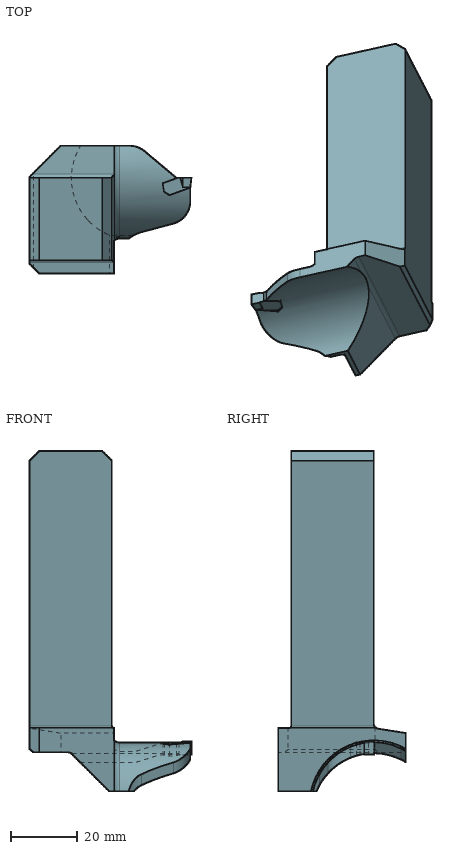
import cadquery as cq
import math


shank_side = 25.0
total_height = 103.15
shank_end_chamfer = 3.0

head_front = -4.0
head_back = 34.75
head_step = 0.65
head_face_x = shank_side + head_step
head_top = 19.25
head_underside = 11.85
underside_chamfer_x = 1.2
underside_chamfer_z = 1.0
foot_start_x = 24.2
underside_blend = 2.0
front_corner_chamfer = 3.0
back_corner_chamfer = 9.5
back_slope = math.radians(9)
front_blend = 0.6
back_blend = 1.5

arc_radius = 18.85
arc_center_y = shank_side
inner_center_z = -7.3
blade_thickness = 3.35
outer_center_z = inner_center_z + blade_thickness
root_flare_length = 1.55
root_flare_height = 0.6

blade_end_x = 48.75
flank_angle = math.radians(15)
flank_corner_y = 12.5
flank_inner_x = 33.8
nose_radius = 7.1
root_radius = 10.0
back_corner_x = 32.9
back_slope_angle = math.radians(40)
back_corner_radius = 7.1

cutting_edge_y = 25.1
insert_body_bottom = 11.3
insert_body_top = 14.85
insert_tilt = math.radians(20)
insert_heel_top_x = 40.35
insert_heel_bottom_x = 40.75
insert_heel_top_y = cutting_edge_y - 1.75
insert_heel_bottom_y = 20.8
insert_toe_x = 42.4
insert_toe_y = 19.75
tip_width = 4.0
tip_top = 15.15
tip_bottom = tip_top - tip_width
tip_left_x = 46.5
tip_edge_x = 49.1
tip_floor_y = 22.1
ramp_left_x = 45.6


def blended_corner(outline, corner, before, after, radius):
    """Continue an outline with a tangent arc that rounds the corner between two neighbours."""
    def unit(target):
        length = math.dist(corner, target)
        return ((target[0] - corner[0]) / length, (target[1] - corner[1]) / length)

    to_before = unit(before)
    to_after = unit(after)
    half_angle = math.acos(to_before[0] * to_after[0] + to_before[1] * to_after[1]) / 2
    tangent_length = radius / math.tan(half_angle)
    middle_length = radius / math.sin(half_angle) - radius
    bisector = (to_before[0] + to_after[0], to_before[1] + to_after[1])
    bisector_length = math.hypot(*bisector)

    def along(direction, length):
        return (corner[0] + direction[0] * length, corner[1] + direction[1] * length)

    start = along(to_before, tangent_length)
    middle = along(bisector, middle_length / bisector_length)
    end = along(to_after, tangent_length)
    return outline.lineTo(*start).threePointArc(middle, end)


def outline_with_blends(plane, points, blends):
    """Closed outline through the points; blends maps a point's index to its fillet radius.

    The first point must stay sharp."""
    outline = cq.Workplane(plane).moveTo(*points[0])
    for index in range(1, len(points)):
        if index in blends:
            following = points[(index + 1) % len(points)]
            outline = blended_corner(outline, points[index], points[index - 1], following, blends[index])
        else:
            outline = outline.lineTo(*points[index])
    return outline.close()


def make_inner_cutter():
    """Round bar along X that hollows the underside of the head and the blade."""
    return (
        cq.Workplane("YZ")
        .center(arc_center_y, inner_center_z)
        .circle(arc_radius)
        .extrude(blade_end_x)
    )


def make_head_and_shank():
    """Common volume of a side (XZ), an end (YZ) and a plan (XY) outline."""
    depth = head_back - head_front
    shank_shoulder = total_height - shank_end_chamfer
    side = (
        outline_with_blends("XZ", [
            (head_face_x, 0),
            (head_face_x, head_top),
            (shank_side, head_top),
            (shank_side, shank_shoulder),
            (shank_side - shank_end_chamfer, total_height),
            (shank_end_chamfer, total_height),
            (0, shank_shoulder),
            (0, head_underside + underside_chamfer_z),
            (underside_chamfer_x, head_underside),
            (foot_start_x - head_underside, head_underside),
            (foot_start_x, 0),
        ], {2: front_blend, 9: underside_blend})
        .extrude(-depth)
        .translate((0, head_front, 0))
    )
    end = outline_with_blends("YZ", [
        (head_front, 0),
        (head_front, head_top),
        (0, head_top),
        (0, total_height),
        (shank_side, total_height),
        (shank_side, head_top),
        (head_back, head_top - (head_back - shank_side) * math.tan(back_slope)),
        (head_back, 0),
    ], {2: front_blend, 5: back_blend}).extrude(head_face_x)
    plan = (
        cq.Workplane("XY")
        .polyline([
            (0, head_front + front_corner_chamfer),
            (front_corner_chamfer, head_front),
            (head_face_x, head_front),
            (head_face_x, head_back),
            (back_corner_chamfer, head_back),
            (0, head_back - back_corner_chamfer),
        ])
        .close()
        .extrude(total_height)
    )
    return side.intersect(end).intersect(plan)


def make_blade():
    """Blade with a flared root, before the inner arc is cut away."""
    flare_end_x = head_face_x + root_flare_length
    flare_radius = (root_flare_length**2 + root_flare_height**2) / (2 * root_flare_height)
    flare_half_angle = math.asin(root_flare_length / flare_radius) / 2
    flare_middle = (
        flare_end_x - flare_radius * math.sin(flare_half_angle),
        arc_radius + flare_radius * (1 - math.cos(flare_half_angle)),
    )
    solid_of_turn = (
        cq.Workplane("XZ")
        .moveTo(head_face_x, 0)
        .lineTo(head_face_x, arc_radius + root_flare_height)
        .threePointArc(flare_middle, (flare_end_x, arc_radius))
        .lineTo(blade_end_x, arc_radius)
        .lineTo(blade_end_x, 0)
        .close()
        .revolve(360, (0, 0, 0), (1, 0, 0))
        .translate((0, arc_center_y, outer_center_z))
    )

    flank_inner_y = flank_corner_y - (blade_end_x - flank_inner_x) * math.tan(flank_angle)
    root_center = (
        flank_inner_x + root_radius * math.sin(flank_angle),
        flank_inner_y - root_radius * math.cos(flank_angle),
    )
    root_middle_angle = (math.pi / 2 + flank_angle + math.pi) / 2
    root_arc_middle = (
        root_center[0] + root_radius * math.cos(root_middle_angle),
        root_center[1] + root_radius * math.sin(root_middle_angle),
    )
    root_x = root_center[0] - root_radius
    back_slope_end = (
        back_corner_x + (head_back - cutting_edge_y) / math.tan(back_slope_angle),
        cutting_edge_y,
    )
    plan = cq.Workplane("XY").moveTo(head_face_x, head_front).lineTo(head_face_x, head_back)
    plan = blended_corner(
        plan, (back_corner_x, head_back), (head_face_x, head_back), back_slope_end, back_corner_radius
    )
    plan = plan.lineTo(*back_slope_end).lineTo(blade_end_x, cutting_edge_y)
    plan = blended_corner(
        plan,
        (blade_end_x, flank_corner_y),
        (blade_end_x, cutting_edge_y),
        (flank_inner_x, flank_inner_y),
        nose_radius,
    )
    plan = (
        plan.lineTo(flank_inner_x, flank_inner_y)
        .threePointArc(root_arc_middle, (root_x, root_center[1]))
        .lineTo(root_x, head_front)
        .close()
        .extrude(head_top)
    )
    return solid_of_turn.intersect(plan)


insert_top_start = (
    insert_heel_top_x + (cutting_edge_y - insert_heel_top_y) / math.tan(insert_tilt),
    cutting_edge_y,
)
insert_seat_end = (
    blade_end_x,
    insert_toe_y + (blade_end_x - insert_toe_x) * math.tan(insert_tilt),
)
insert_outline = [
    (insert_heel_top_x, insert_heel_top_y),
    insert_top_start,
    (blade_end_x, cutting_edge_y),
    insert_seat_end,
    (insert_toe_x, insert_toe_y),
    (insert_heel_bottom_x, insert_heel_bottom_y),
]


def insert_prism(bottom, top):
    """Upright prism over the insert's plan outline."""
    return (
        cq.Workplane("XY", origin=(0, 0, bottom))
        .polyline(insert_outline)
        .close()
        .extrude(top - bottom)
    )


def make_holder():
    """Shank, head and blade in one piece, with the inner arc and the insert seat cut out."""
    holder = make_head_and_shank().union(make_blade())
    holder = holder.cut(make_inner_cutter())
    return holder.cut(insert_prism(0, head_top))


def make_chip_ramp():
    """Small three-sided ramp rising from the insert body to the top of the tip."""
    low_start = cq.Vector(ramp_left_x, cutting_edge_y, insert_body_top)
    low_end = cq.Vector(tip_left_x, tip_floor_y, insert_body_top)
    base_corner = cq.Vector(tip_left_x, cutting_edge_y, insert_body_top)
    peak = cq.Vector(tip_left_x, cutting_edge_y, tip_top)
    triangles = [
        (low_start, low_end, base_corner),
        (low_start, low_end, peak),
        (low_end, base_corner, peak),
        (base_corner, low_start, peak),
    ]
    faces = [cq.Face.makeFromWires(cq.Wire.makePolygon(corners, close=True)) for corners in triangles]
    return cq.Workplane(obj=cq.Solid.makeSolid(cq.Shell.makeShell(faces)))


def make_insert():
    """Insert body with a wider cutting tip, relieved below the cutting edge."""
    tip = (
        cq.Workplane("XY", origin=(0, 0, tip_bottom))
        .polyline([
            (tip_left_x, cutting_edge_y),
            (tip_edge_x, cutting_edge_y),
            (blade_end_x, tip_floor_y),
            (tip_left_x, tip_floor_y),
        ])
        .close()
        .extrude(tip_width)
    )
    return insert_prism(insert_body_bottom, insert_body_top).union(tip).union(make_chip_ramp())


holder = make_holder()
insert = make_insert()

result = cq.Compound.makeCompound([holder.solids().val(), insert.solids().val()])